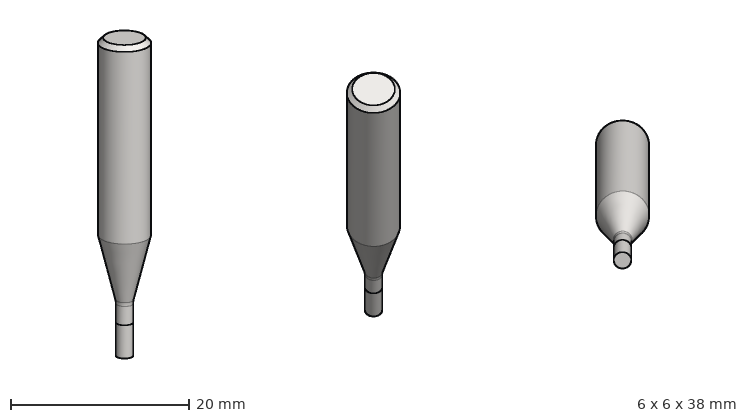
import cadquery as cq
import math

total_length = 38.0
shank_radius = 3.0
shank_chamfer = 0.6

tip_radius = 1.0
tip_length = 4.0

neck_radius = tip_radius
neck_top = 6.27
blend_radius = 1.9
cone_half_angle = math.radians(14.2)


def blend_point(angle):
    """Point on the blend arc, turned by angle from the neck's straight side."""
    return (
        neck_radius + blend_radius * (1 - math.cos(angle)),
        neck_top + blend_radius * math.sin(angle),
    )


def make_holder():
    """Chamfered shank, cone and neck, revolved as one profile."""
    blend_middle = blend_point(cone_half_angle / 2)
    cone_start = blend_point(cone_half_angle)
    cone_height = (shank_radius - cone_start[0]) / math.tan(cone_half_angle)
    shank_bottom = cone_start[1] + cone_height
    return (
        cq.Workplane("XZ")
        .moveTo(0, tip_length)
        .lineTo(neck_radius, tip_length)
        .lineTo(neck_radius, neck_top)
        .threePointArc(blend_middle, cone_start)
        .lineTo(shank_radius, shank_bottom)
        .lineTo(shank_radius, total_length - shank_chamfer)
        .lineTo(shank_radius - shank_chamfer, total_length)
        .lineTo(0, total_length)
        .close()
        .revolve(360, (0, 0), (0, 1))
    )


def make_tip():
    """Plain cylindrical cutting tip, butted against the end of the neck."""
    return cq.Workplane("XY").circle(tip_radius).extrude(tip_length)


holder = make_holder()
tip = make_tip()

result = cq.Compound.makeCompound([holder.val(), tip.val()])